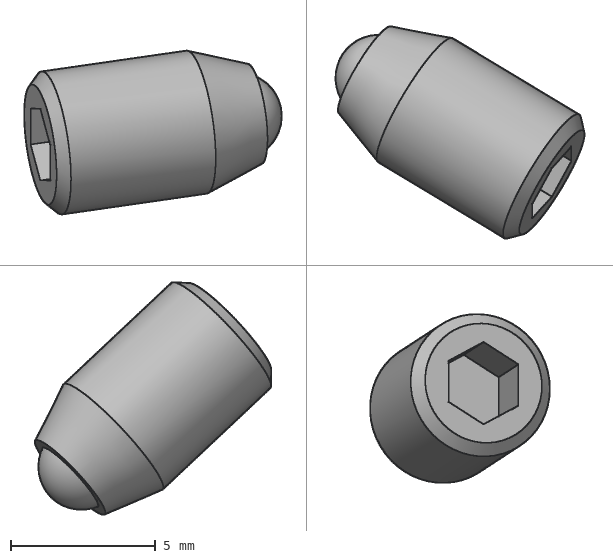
import cadquery as cq
import math

total_length = 8.6
body_diameter = 5.0
body_radius = body_diameter / 2

body_length = 7.65
chamfer = 0.4
taper_start = 5.59
tip_radius = 1.755

socket_across_flats = 2.5
socket_depth = 2.5

ball_radius = 1.5
ball_center_y = total_length - ball_radius


def make_ball():
    """Full ball protruding from the tapered end."""
    return cq.Workplane("XY").sphere(ball_radius).translate((0, ball_center_y, 0))


def make_socket():
    """Hexagonal prism with two corners on the vertical centre line."""
    across_corners = socket_across_flats / math.cos(math.pi / 6)
    return (
        cq.Workplane("XZ")
        .transformed(rotate=(0, 0, 90))
        .polygon(6, across_corners)
        .extrude(-socket_depth)
    )


def make_screw_body():
    """Chamfered, tapered cylinder with a hexagon socket and a ball seat."""
    half_profile = [
        (0, 0),
        (body_radius - chamfer, 0),
        (body_radius, chamfer),
        (body_radius, taper_start),
        (tip_radius, body_length),
        (0, body_length),
    ]
    blank = (
        cq.Workplane("XY")
        .polyline(half_profile)
        .close()
        .revolve(360, (0, 0, 0), (0, 1, 0))
    )
    return blank.cut(make_socket()).cut(make_ball())


screw_body = make_screw_body()
ball = make_ball()

result = cq.Compound.makeCompound([screw_body.val(), ball.val()])